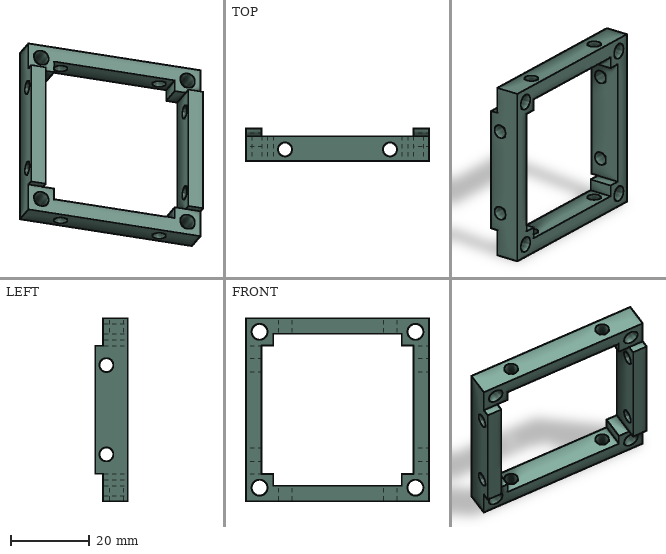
import cadquery as cq

frame_size = 46.8
wall = 4.0
frame_depth = 6.4
opening = frame_size - 2 * wall

corner_block = 3.0

ledge_height = 2.0
ledge_length = opening - 2 * corner_block

corner_hole_diameter = 4.0
corner_hole_inset = 3.5
corner_hole_spacing = frame_size - 2 * corner_hole_inset

cross_hole_diameter = 3.5
vertical_hole_inset = 10.0
vertical_hole_depth_position = 3.0
side_hole_inset = 12.0
side_hole_depth_position = 5.5


def block(width, depth, height, x=0.0, y_front=0.0):
    """Box centred at x and at half height, whose front face lies at y_front."""
    return cq.Workplane("XY").box(width, depth, height).translate((x, y_front + depth / 2, 0))


def make_frame():
    """Square ring with its inner corners filled by small blocks."""
    frame = block(frame_size, frame_depth, frame_size)
    frame = frame.cut(block(opening, frame_depth, ledge_length))
    return frame.cut(block(ledge_length, frame_depth, opening))


def add_ledges(body):
    """Ledge behind the middle stretch of each side wall."""
    ledge_x = (frame_size - wall) / 2
    for side in (-1, 1):
        body = body.union(block(wall, ledge_height, ledge_length, side * ledge_x, frame_depth))
    return body


def cut_corner_holes(body):
    """Four holes along Y, one in each corner."""
    holes = (
        cq.Workplane("XZ")
        .rect(corner_hole_spacing, corner_hole_spacing, forConstruction=True)
        .vertices()
        .circle(corner_hole_diameter / 2)
        .extrude(-frame_depth)
    )
    return body.cut(holes)


def cut_vertical_holes(body):
    """Two holes along Z through the top and bottom walls."""
    hole_x = frame_size / 2 - vertical_hole_inset
    holes = (
        cq.Workplane("XY")
        .pushPoints([(side * hole_x, vertical_hole_depth_position) for side in (-1, 1)])
        .circle(cross_hole_diameter / 2)
        .extrude(frame_size / 2, both=True)
    )
    return body.cut(holes)


def cut_side_holes(body):
    """Two holes along X through the left and right walls."""
    hole_z = frame_size / 2 - side_hole_inset
    holes = (
        cq.Workplane("YZ")
        .pushPoints([(side_hole_depth_position, side * hole_z) for side in (-1, 1)])
        .circle(cross_hole_diameter / 2)
        .extrude(frame_size / 2, both=True)
    )
    return body.cut(holes)


result = make_frame()
result = add_ledges(result)
result = cut_corner_holes(result)
result = cut_vertical_holes(result)
result = cut_side_holes(result)